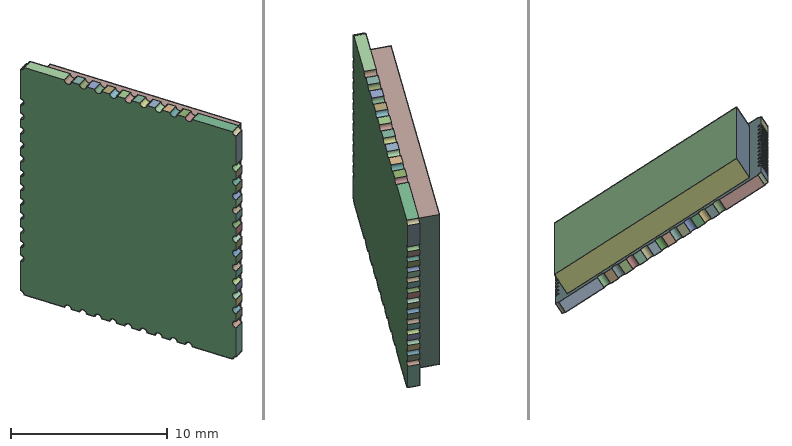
import cadquery as cq


board_width = 15.7
board_height = 17.6
board_thickness = 0.8

shield_width = 13.9
shield_height = 15.8
shield_thickness = 1.5

notch_radius = 0.25
notch_pitch = 1.1
notches_per_horizontal_edge = 9
notches_per_vertical_edge = 12


def centred_positions(count, pitch):
    """Evenly spaced positions, symmetric about zero."""
    return [(i - (count - 1) / 2) * pitch for i in range(count)]


def notch_centres():
    """(x, z) centres of every edge notch and the four corner notches."""
    half_width = board_width / 2
    half_height = board_height / 2
    centres = []
    for side in (-1, 1):
        for x in centred_positions(notches_per_horizontal_edge, notch_pitch):
            centres.append((x, side * half_height))
        for z in centred_positions(notches_per_vertical_edge, notch_pitch):
            centres.append((side * half_width, z))
        for corner_side in (-1, 1):
            centres.append((side * half_width, corner_side * half_height))
    return centres


def slab(width, height, thickness, front_y):
    """Plate centred on X and Z, running from front_y toward +Y."""
    return cq.Workplane("XY").box(width, thickness, height).translate((0, front_y + thickness / 2, 0))


def make_board():
    """Board with its front face at Y = 0 and notches through its thickness."""
    notches = (
        cq.Workplane("XZ")
        .pushPoints(notch_centres())
        .circle(notch_radius)
        .extrude(-board_thickness)
    )
    return slab(board_width, board_height, board_thickness, 0).cut(notches)


def make_shield():
    """Shield can seated on the back face of the board."""
    return slab(shield_width, shield_height, shield_thickness, board_thickness)


result = make_board().union(make_shield())